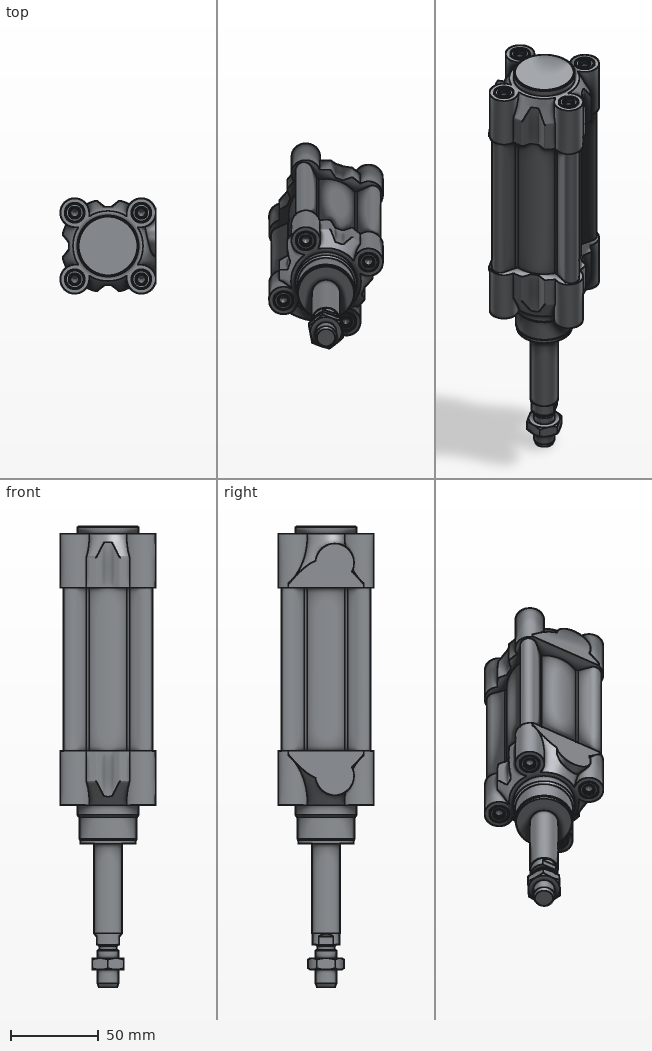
import cadquery as cq
import math


column_pitch = 38.0
column_radius = 8.25
column_offset = column_pitch / 2
column_inner_side = column_offset - column_radius
cover_half_width = column_offset + column_radius

cover_height = 31.0
barrel_length = 93.0
barrel_bottom = cover_height
barrel_top = barrel_bottom + barrel_length

body_radius = 26.8
taper_end_radius = 20.0
taper_height = 13.4
taper_slope = (body_radius - taper_end_radius) / taper_height
edge_fillet = 1.0
column_fillet = 4.0
rim_fillet = 2.0
rib_notch_floor = 22.5
notch_floor_half_width = 2.3
notch_mouth_half_width = 6.5
lip_length = 1.5

quarter_turns = (0, 90, 180, 270)
notched_sides = (0, 90, 180)

port_face_x = cover_half_width
port_side_half_width = 21.5
port_boss_radius = 11.0
port_boss_y = 5.0
port_boss_depth = 16.7

head_recess_diameter = 11.45
head_diameter = 10.65
head_face_diameter = 9.9
head_recess_depth = 2.0
socket_width = 6.0
socket_countersink_diameter = 7.0
socket_depth = 2.0
socket_cone_diameter = 4.92

collar_diameter = 35.0
cap_height = 4.0
cap_chamfer_width = 0.8
cap_chamfer_height = 0.5
guide_collar_length = 5.5
guide_taper_length = 1.5
guide_diameter = 32.8
guide_end = 22.0
guide_step_start = 19.2
guide_step_width = 0.4
guide_step_height = 0.7
guide_end_diameter = 31.8

barrel_half_width = 25.5
barrel_corner_radius = 4.7
groove_edge_x = 17.2
groove_bottom_x = 12.3
barrel_arc_radius = 21.2
barrel_arc_half_width = 10.8

rod_diameter = 16.0
rod_shoulder = -73.0
flat_section_diameter = 15.5
flat_section_end = -79.6
flat_width = 13.0
flat_runout = 2.0
neck_diameter = 10.0
neck_shoulder_diameter = 11.45
neck_cone_height = 0.9
thread_diameter = 12.0
thread_start = -83.0
thread_end_diameter = 10.3
thread_lead_in = 0.6
tip_chamfer_start = -101.5
rod_tip = -104.0

nut_width = 18.0
nut_height = 6.5
nut_top = -87.3
nut_chamfer_diameter = 17.9
nut_chamfer_angle = 30.0


def revolve_profile(points):
    """Solid of revolution about Z from (radius, z) points."""
    return cq.Workplane("XZ").polyline(points).close().revolve(360, (0, 0, 0), (0, 1, 0))


def hexagon(across_flats, height):
    """Hexagonal prism on Z = 0 with two corners on the Y axis."""
    prism = cq.Workplane("XY").polygon(6, across_flats / math.cos(math.pi / 6)).extrude(height)
    return prism.rotate((0, 0, 0), (0, 0, 1), 30)


def tapered_body(radius):
    """Round cover body of the given radius, tapered to the outer end at Z = cover_height."""
    taper_start = cover_height - (radius - taper_end_radius) / taper_slope
    return revolve_profile([
        (0, 0), (radius, 0), (radius, taper_start), (taper_end_radius, cover_height), (0, cover_height),
    ])


def rib_notch():
    """Flared notch through the full cover height on the +Y side, with rounded floor and mouth edges."""
    mouth_y = math.sqrt(body_radius**2 - notch_mouth_half_width**2)
    lip_x = notch_mouth_half_width + lip_length * mouth_y / body_radius
    lip_y = mouth_y - lip_length * notch_mouth_half_width / body_radius
    outer_y = body_radius + 1
    right_side = [
        (notch_floor_half_width, rib_notch_floor), (notch_mouth_half_width, mouth_y),
        (lip_x, lip_y), (lip_x, outer_y),
    ]
    left_side = [(-x, y) for x, y in reversed(right_side)]
    notch = cq.Workplane("XY").polyline(right_side + left_side).close().extrude(cover_height)
    rounded_edges = cq.selectors.BoxSelector(
        (-notch_mouth_half_width - 0.1, rib_notch_floor - 0.1, 0),
        (notch_mouth_half_width + 0.1, mouth_y + 0.1, cover_height),
    )
    return notch.edges("|Z").edges(rounded_edges).fillet(edge_fillet)


def corner_column():
    """Column at +X +Y: a cylinder with straight inner sides running to the centre of the cover."""
    column = cq.Workplane("XY").center(column_offset, column_offset).circle(column_radius)
    column = column.extrude(cover_height)
    web_size = column_offset - column_inner_side
    web = cq.Workplane("XY").center(column_inner_side, column_inner_side)
    web = web.rect(web_size, web_size, centered=False)
    return column.union(web.extrude(cover_height))


def screw_head_recess():
    """Ring groove around a screw head with its hexagon socket, sunk from the outer face."""
    recess_floor = cover_height - head_recess_depth
    head_chamfer = (head_diameter - head_face_diameter) / 2
    groove = revolve_profile([
        (head_recess_diameter / 2, recess_floor), (head_recess_diameter / 2, cover_height),
        (head_face_diameter / 2, cover_height), (head_diameter / 2, cover_height - head_chamfer),
        (head_diameter / 2, recess_floor),
    ])
    countersink_radius = socket_countersink_diameter / 2
    countersink_depth = countersink_radius - socket_width / 2
    countersink = revolve_profile([
        (0, cover_height), (countersink_radius, cover_height),
        (socket_width / 2, cover_height - countersink_depth), (0, cover_height - countersink_depth),
    ])
    socket_floor = cover_height - socket_depth
    socket = hexagon(socket_width, socket_depth).translate((0, 0, socket_floor))
    cone_radius = socket_cone_diameter / 2
    cone = revolve_profile([(0, socket_floor), (cone_radius, socket_floor), (0, socket_floor - cone_radius)])
    recess = groove.union(countersink).union(socket).union(cone)
    return recess.translate((column_offset, column_offset, 0))


def port_side():
    """Flat port face on +X, following the taper, with a round boss standing out of it."""
    slab = cq.Workplane("XY").rect(port_face_x, 2 * port_side_half_width).extrude(cover_height)
    corner_reach = math.hypot(port_face_x, port_side_half_width)
    slab = slab.translate((port_face_x / 2, 0, 0)).intersect(tapered_body(corner_reach))
    boss = (
        cq.Workplane("YZ").center(port_boss_y, cover_height - port_boss_depth)
        .circle(port_boss_radius).extrude(port_face_x)
    )
    return slab.union(boss)


def around_axis(solid, angles):
    """Copies of a solid turned about Z to the given angles, joined into one shape."""
    copies = [solid.rotate((0, 0, 0), (0, 0, 1), angle) for angle in angles]
    joined = copies[0]
    for copy in copies[1:]:
        joined = joined.union(copy)
    return joined


def cover():
    """Cover with its barrel side on Z = 0 and its outer face at Z = cover_height."""
    columns = around_axis(corner_column(), quarter_turns)
    notches = around_axis(rib_notch(), notched_sides)
    seam_turn = 45
    disc = cq.Workplane("XY").circle(body_radius).extrude(cover_height)
    disc = disc.rotate((0, 0, 0), (0, 0, 1), seam_turn)
    prism = disc.union(columns).edges("|Z").fillet(column_fillet)
    envelope = tapered_body(body_radius).edges(cq.selectors.RadiusNthSelector(-1)).edges(">Z")
    envelope = envelope.fillet(rim_fillet).rotate((0, 0, 0), (0, 0, 1), seam_turn)
    body = prism.intersect(envelope).union(columns).cut(notches).union(port_side())
    return body.cut(around_axis(screw_head_recess(), quarter_turns))


def upper_cover():
    """Cover on top of the barrel, closed by a round cap."""
    cap = (
        cq.Workplane("XY").workplane(offset=cover_height).circle(collar_diameter / 2)
        .extrude(cap_height).faces(">Z").chamfer(cap_chamfer_height, cap_chamfer_width)
    )
    return cover().union(cap).translate((0, 0, barrel_top))


def lower_cover():
    """Mirrored cover with the rod guide below it and a through hole for the rod."""
    guide_radius = guide_diameter / 2
    stepped_radius = guide_radius - guide_step_width
    guide = revolve_profile([
        (0, 0), (collar_diameter / 2, 0), (collar_diameter / 2, -guide_collar_length),
        (guide_radius, -guide_collar_length - guide_taper_length),
        (guide_radius, -guide_step_start), (stepped_radius, -guide_step_start - guide_step_height),
        (guide_end_diameter / 2, -guide_end), (0, -guide_end),
    ])
    body = cover().mirror("XY").translate((0, 0, cover_height)).union(guide)
    rod_hole = cq.Workplane("XY").workplane(offset=-guide_end).circle(rod_diameter / 2)
    return body.cut(rod_hole.extrude(guide_end + cover_height))


def barrel():
    """Extruded profile: rounded corners, slanted grooves and four bulging sides."""
    corner_centre = barrel_half_width - barrel_corner_radius
    corner_edge = corner_centre + math.sqrt(barrel_corner_radius**2 - (corner_centre - groove_edge_x)**2)
    corner_middle = corner_centre + barrel_corner_radius / math.sqrt(2)
    groove_bottom_y = corner_edge - (groove_edge_x - groove_bottom_x)
    arc_end_y = math.sqrt(barrel_arc_radius**2 - barrel_arc_half_width**2)

    def turned(x, y, quarter):
        for _ in range(quarter):
            x, y = y, -x
        return x, y

    outline = cq.Workplane("XY").workplane(offset=barrel_bottom).moveTo(-barrel_arc_half_width, arc_end_y)
    for quarter in range(4):
        outline = (
            outline
            .threePointArc(
                turned(0, barrel_arc_radius, quarter), turned(barrel_arc_half_width, arc_end_y, quarter))
            .lineTo(*turned(groove_bottom_x, groove_bottom_y, quarter))
            .lineTo(*turned(groove_edge_x, corner_edge, quarter))
            .threePointArc(
                turned(corner_middle, corner_middle, quarter), turned(corner_edge, groove_edge_x, quarter))
            .lineTo(*turned(groove_bottom_y, groove_bottom_x, quarter))
            .lineTo(*turned(arc_end_y, barrel_arc_half_width, quarter))
        )
    return outline.close().extrude(barrel_length)


def rod():
    """Piston rod with two wrench flats on +X and -X, a neck and a threaded end."""
    body = revolve_profile([
        (0, cover_height), (rod_diameter / 2, cover_height), (rod_diameter / 2, rod_shoulder),
        (flat_section_diameter / 2, rod_shoulder), (flat_section_diameter / 2, flat_section_end),
        (neck_shoulder_diameter / 2, flat_section_end),
        (neck_diameter / 2, flat_section_end - neck_cone_height),
        (neck_diameter / 2, thread_start + thread_lead_in),
        (thread_end_diameter / 2, thread_start + thread_lead_in),
        (thread_diameter / 2, thread_start), (thread_diameter / 2, tip_chamfer_start),
        (thread_end_diameter / 2, rod_tip), (0, rod_tip),
    ])
    flat_x = flat_width / 2
    flat_cut = (
        cq.Workplane("XZ")
        .polyline([
            (flat_x, flat_section_end), (flat_x, rod_shoulder - flat_runout),
            (rod_diameter / 2, rod_shoulder), (rod_diameter / 2, flat_section_end),
        ])
        .close().extrude(rod_diameter / 2, both=True)
    )
    return body.cut(flat_cut).cut(flat_cut.mirror("YZ"))


def nut():
    """Hexagon nut with both faces chamfered at the corners."""
    corner_radius = nut_width / 2 / math.cos(math.pi / 6)
    face_radius = nut_chamfer_diameter / 2
    drop = (corner_radius - face_radius) * math.tan(math.radians(nut_chamfer_angle))
    envelope = revolve_profile([
        (0, 0), (face_radius, 0), (corner_radius, drop),
        (corner_radius, nut_height - drop), (face_radius, nut_height), (0, nut_height),
    ])
    body = hexagon(nut_width, nut_height).intersect(envelope)
    bore = cq.Workplane("XY").circle(thread_diameter / 2).extrude(nut_height)
    return body.cut(bore).translate((0, 0, nut_top - nut_height))


result = cq.Compound.makeCompound([
    lower_cover().val(),
    barrel().val(),
    upper_cover().val(),
    rod().val(),
    nut().val(),
])